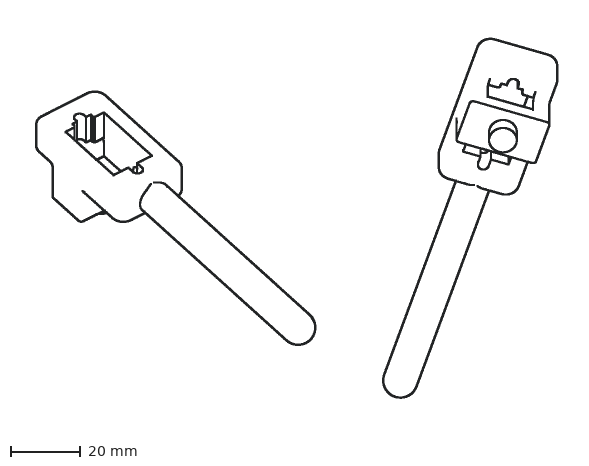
import cadquery as cq

total_length = 117.0
total_height = 27.0
rod_diameter = 10.0
rod_radius = rod_diameter / 2

head_length = 43.0
head_width = 24.0
head_corner_radius = 4.0
edge_round = 1.0
head_top = rod_radius
head_bottom = -rod_radius

leg_start = 10.0
leg_length = 14.0
leg_middle = leg_start + leg_length / 2
leg_bottom = head_top - 22.2
leg_blend_radius = 2.0

window_length = 22.9
window_width = 13.7
window_end = leg_start + window_length
window_floor = head_top - 17.0

slot_width = 3.2
left_slot_tip = 5.8
right_slot_tip = 36.7
step_start = 8.4
step_width = 6.5
step_flare = 0.5

pin_diameter = 8.0
pin_bottom = head_top - total_height


def block(x_start, x_end, width, z_low, z_high):
    """Box centred on the XZ plane, given by its X and Z limits."""
    return (
        cq.Workplane("XY")
        .box(x_end - x_start, width, z_high - z_low, centered=(False, True, False))
        .translate((x_start, 0, z_low))
    )


def make_head():
    plate = block(0, head_length, head_width, head_bottom, head_top)
    return plate.edges("|Z").fillet(head_corner_radius).faces("<Z or >Z").edges().fillet(edge_round)


def make_leg():
    leg = block(leg_start, leg_start + leg_length, head_width, leg_bottom, head_bottom + edge_round)
    return leg.edges("|Z").fillet(edge_round)


def blend_leg(body):
    """Fillet the inner corners where the leg faces meet the underside of the head."""
    for face_x in (leg_start, leg_start + leg_length):
        corner = cq.selectors.BoxSelector(
            (face_x - edge_round, -head_width, head_bottom - edge_round),
            (face_x + edge_round, head_width, head_bottom + edge_round),
        )
        body = body.edges("|Y").edges(corner).fillet(leg_blend_radius)
    return body


def make_rod():
    straight_end = total_length - rod_radius
    rod = cq.Workplane("YZ").workplane(offset=head_length - head_corner_radius)
    rod = rod.circle(rod_radius).extrude(straight_end - head_length + head_corner_radius)
    return rod.union(cq.Workplane("XY").sphere(rod_radius).translate((straight_end, 0, 0)))


def make_openings():
    window = block(leg_start, window_end, window_width, window_floor, head_top)
    slot_length = right_slot_tip - left_slot_tip
    slots = (
        cq.Workplane("XY", origin=((left_slot_tip + right_slot_tip) / 2, 0, head_bottom))
        .slot2D(slot_length, slot_width)
        .extrude(rod_diameter)
    )
    step = (
        cq.Workplane("XY", origin=(0, 0, head_bottom))
        .moveTo(leg_start, -step_width / 2 - step_flare)
        .lineTo(leg_start - step_flare, -step_width / 2)
        .lineTo(step_start, -step_width / 2)
        .lineTo(step_start, step_width / 2)
        .lineTo(leg_start - step_flare, step_width / 2)
        .lineTo(leg_start, step_width / 2 + step_flare)
        .close()
        .extrude(rod_diameter)
    )
    tunnel = block(
        leg_start - leg_blend_radius,
        leg_start + leg_length + leg_blend_radius,
        window_width,
        window_floor,
        head_bottom,
    )
    return window.union(slots).union(step).union(tunnel)


def make_pin():
    pin = cq.Workplane("XY", origin=(leg_middle, 0, pin_bottom))
    return pin.circle(pin_diameter / 2).extrude(leg_bottom - pin_bottom)


head_and_leg = blend_leg(make_head().union(make_leg()))
result = head_and_leg.union(make_rod()).cut(make_openings()).union(make_pin())